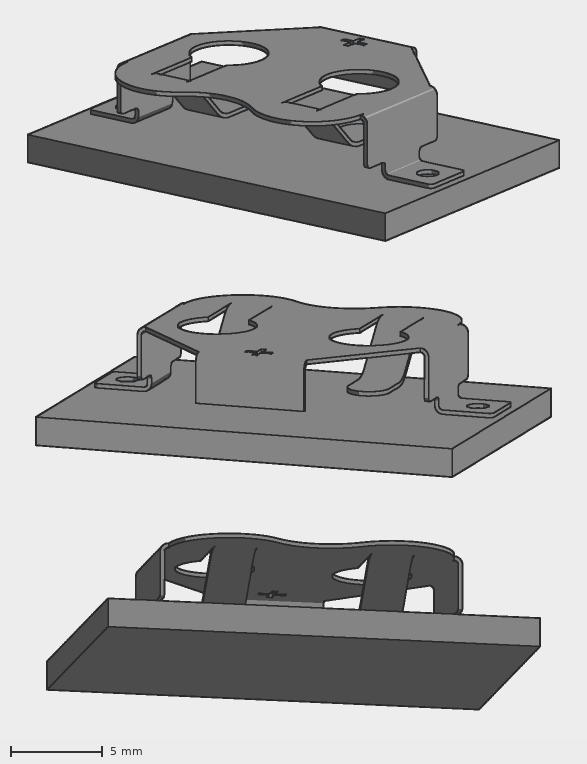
import cadquery as cq
import math

board_length = 24.12
board_width = 16.23
board_thickness = 1.6

overall_height = 5.6
sheet = 0.25
bend_inner = 0.25
bend_outer = bend_inner + sheet
cover_underside = overall_height - sheet

leg_outer_x = 8.45
cover_edge_x = leg_outer_x - bend_outer
leg_back_y = 1.74
leg_front_y = -4.78
leg_mid_y = (leg_back_y + leg_front_y) / 2
leg_shoulder_z = 2.58
leg_corner_radius = 0.27

tab_width = 3.15
tab_end_x = 11.55
tab_corner_radius = 0.25
tab_hole_x = 10.15
tab_hole_diameter = 1.2

flange_width = 6.27
flange_outer_y = 7.16
flange_bottom_z = 2.82
cover_back_y = flange_outer_y - bend_outer

lobe_x = 4.53
lobe_radius = cover_edge_x - lobe_x
lobe_y = -4.5
scoop_y = -6.3

finger_x = 4.4
finger_width = 2.36
finger_root_y = -5.52
finger_tip_y = 0.05
keyhole_radius = 2.17
finger_bend_angle = 45.0
finger_bend_inner = 1.33
finger_bend_outer = finger_bend_inner + sheet
finger_underside = 2.55

cross_y = 5.65
cross_span = 1.5
cross_stroke = 0.3


def make_board():
    return cq.Workplane("XY").box(board_length, board_width, board_thickness, centered=(True, True, False))


def both_sides(shape):
    """Join a shape with its mirror image about X = 0."""
    return shape.union(shape.mirror("YZ"))


def make_cover():
    """Flat top plate of the clip."""
    lobe_drop = lobe_y - scoop_y
    scoop_radius = (lobe_x**2 + lobe_drop**2 - lobe_radius**2) / (2 * (lobe_radius - lobe_drop))
    reach = lobe_radius / (lobe_radius + scoop_radius)
    joint_x = lobe_x * (1 - reach)
    joint_y = lobe_y + (scoop_y - scoop_radius - lobe_y) * reach
    lobe_bottom_y = lobe_y - lobe_radius
    half_flange = flange_width / 2
    return (
        cq.Workplane("XY", origin=(0, 0, cover_underside))
        .moveTo(-half_flange, cover_back_y)
        .lineTo(half_flange, cover_back_y)
        .lineTo(cover_edge_x, leg_back_y)
        .lineTo(cover_edge_x, lobe_y)
        .radiusArc((lobe_x, lobe_bottom_y), lobe_radius)
        .radiusArc((joint_x, joint_y), lobe_radius)
        .threePointArc((0, scoop_y), (-joint_x, joint_y))
        .radiusArc((-lobe_x, lobe_bottom_y), lobe_radius)
        .radiusArc((-cover_edge_x, lobe_y), lobe_radius)
        .lineTo(-cover_edge_x, leg_back_y)
        .close()
        .extrude(sheet)
    )


def make_leg():
    """Right-hand leg: bend, wall, foot bend and solder tab."""
    leg_width = leg_back_y - leg_front_y
    leg_inner_x = leg_outer_x - sheet
    tab_top_z = board_thickness + sheet
    foot_x = leg_outer_x + bend_inner
    strip = (
        cq.Workplane("XZ", origin=(0, leg_back_y, 0))
        .moveTo(cover_edge_x, overall_height)
        .radiusArc((leg_outer_x, overall_height - bend_outer), bend_outer)
        .lineTo(leg_outer_x, tab_top_z + bend_inner)
        .radiusArc((foot_x, tab_top_z), -bend_inner)
        .lineTo(tab_end_x, tab_top_z)
        .lineTo(tab_end_x, board_thickness)
        .lineTo(foot_x, board_thickness)
        .radiusArc((leg_inner_x, board_thickness + bend_outer), bend_outer)
        .lineTo(leg_inner_x, cover_underside - bend_inner)
        .radiusArc((cover_edge_x, cover_underside), -bend_inner)
        .close()
        .extrude(leg_width)
    )
    outline_depth = tab_end_x - cover_edge_x
    neck = (
        cq.Workplane("YZ", origin=(cover_edge_x, leg_mid_y, 0))
        .rect(tab_width, 2 * overall_height)
        .extrude(outline_depth)
    )
    shoulders = (
        cq.Workplane("YZ", origin=(cover_edge_x, leg_mid_y, leg_shoulder_z + overall_height / 2))
        .rect(leg_width, overall_height)
        .extrude(outline_depth)
    )
    outline = neck.union(shoulders).edges("|X").fillet(leg_corner_radius)
    tab_hole = (
        cq.Workplane("XY", origin=(tab_hole_x, leg_mid_y, board_thickness))
        .circle(tab_hole_diameter / 2)
        .extrude(sheet)
    )
    return strip.intersect(outline).edges("|Z and >X").fillet(tab_corner_radius).cut(tab_hole)


def make_back_flange():
    """Flange bent down from the back edge of the cover."""
    flange_inner_y = flange_outer_y - sheet
    return (
        cq.Workplane("YZ", origin=(-flange_width / 2, 0, 0))
        .moveTo(cover_back_y, overall_height)
        .radiusArc((flange_outer_y, overall_height - bend_outer), bend_outer)
        .lineTo(flange_outer_y, flange_bottom_z)
        .lineTo(flange_inner_y, flange_bottom_z)
        .lineTo(flange_inner_y, cover_underside - bend_inner)
        .radiusArc((cover_back_y, cover_underside), -bend_inner)
        .close()
        .extrude(flange_width)
    )


def make_slot_with_round_end(end_radius, bottom_z):
    """Upright block over the right-hand finger: a straight slot ending in a circle."""
    height = overall_height - bottom_z
    slot_length = finger_tip_y - finger_root_y
    slot = (
        cq.Workplane("XY", origin=(finger_x, finger_root_y + slot_length / 2, bottom_z))
        .rect(finger_width, slot_length)
        .extrude(height)
    )
    round_end = (
        cq.Workplane("XY", origin=(finger_x, finger_tip_y, bottom_z))
        .circle(end_radius)
        .extrude(height)
    )
    return slot.union(round_end)


def make_finger():
    """Right-hand finger: curves down from the cover, runs straight, then levels out to a round tip."""
    angle = math.radians(finger_bend_angle)
    sine = math.sin(angle)
    cosine = math.cos(angle)
    finger_top = finger_underside + sheet
    tip_end_y = finger_tip_y + finger_width / 2

    root_center_z = overall_height - finger_bend_outer
    ramp_drop = overall_height - finger_top - (finger_bend_outer + finger_bend_inner) * (1 - cosine)
    ramp_run = ramp_drop / math.tan(angle)
    level_y = finger_root_y + (finger_bend_outer + finger_bend_inner) * sine + ramp_run
    level_center_z = finger_top + finger_bend_inner

    def root_point(radius):
        return (finger_root_y + radius * sine, root_center_z + radius * cosine)

    def level_point(radius):
        return (level_y - radius * sine, level_center_z - radius * cosine)

    strip = (
        cq.Workplane("YZ", origin=(finger_x - finger_width / 2, 0, 0))
        .moveTo(finger_root_y, overall_height)
        .radiusArc(root_point(finger_bend_outer), finger_bend_outer)
        .lineTo(*level_point(finger_bend_inner))
        .radiusArc((level_y, finger_top), -finger_bend_inner)
        .lineTo(tip_end_y, finger_top)
        .lineTo(tip_end_y, finger_underside)
        .lineTo(level_y, finger_underside)
        .radiusArc(level_point(finger_bend_outer), finger_bend_outer)
        .lineTo(*root_point(finger_bend_inner))
        .radiusArc((finger_root_y, cover_underside), -finger_bend_inner)
        .close()
        .extrude(finger_width)
    )
    return strip.intersect(make_slot_with_round_end(finger_width / 2, finger_underside))


def make_cross():
    """Cutter for the polarity cross."""
    plane = cq.Workplane("XY", origin=(0, cross_y, cover_underside))
    return (
        plane.rect(cross_span, cross_stroke).extrude(sheet)
        .union(plane.rect(cross_stroke, cross_span).extrude(sheet))
    )


def make_clip():
    keyhole = make_slot_with_round_end(keyhole_radius, cover_underside)
    cover = make_cover().cut(both_sides(keyhole)).cut(make_cross())
    return cover.union(both_sides(make_leg())).union(make_back_flange()).union(both_sides(make_finger()))


board = make_board()
clip = make_clip()

result = cq.Compound.makeCompound([board.val(), clip.val()])